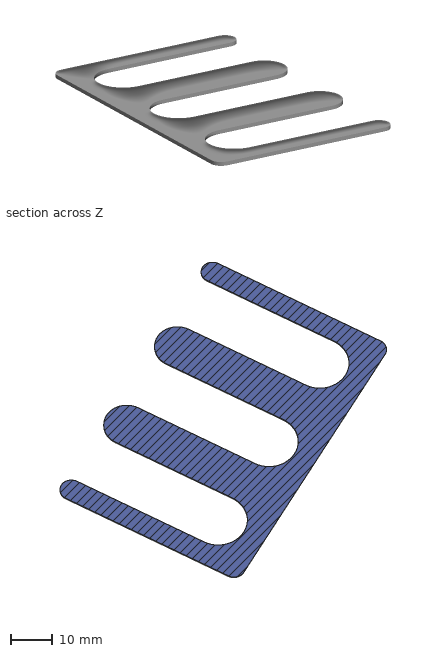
import cadquery as cq

length = 76.2
depth = 50.8
thickness = 1.0
slot_count = 3
slot_width = 14.1

pitch = length / slot_count
slot_radius = slot_width / 2
inner_finger_width = pitch - slot_width
outer_finger_width = inner_finger_width / 2
spine_width = outer_finger_width
corner_radius = outer_finger_width / 2

left = -length / 2
back = depth / 2
front = -depth / 2
slot_center_y = front + spine_width + slot_radius


def add_finger_tip(outline, start_x, width):
    """Round the free end of a finger, travelling towards +X."""
    radius = width / 2
    return (
        outline.lineTo(start_x, back - radius)
        .threePointArc((start_x + radius, back), (start_x + width, back - radius))
    )


def add_slot_floor(outline, start_x):
    """Run down into a slot and around its round floor, travelling towards +X."""
    return (
        outline.lineTo(start_x, slot_center_y)
        .threePointArc(
            (start_x + slot_radius, slot_center_y - slot_radius),
            (start_x + slot_width, slot_center_y),
        )
    )


outline = cq.Workplane("XY").moveTo(left, front)
outline = add_finger_tip(outline, left, outer_finger_width)
for index in range(slot_count):
    slot_start = left + outer_finger_width + index * pitch
    outline = add_slot_floor(outline, slot_start)
    is_last_slot = index == slot_count - 1
    finger_width = outer_finger_width if is_last_slot else inner_finger_width
    outline = add_finger_tip(outline, slot_start + slot_width, finger_width)
plate = outline.lineTo(-left, front).close().extrude(thickness)

result = plate.edges("|Z and <Y").fillet(corner_radius)